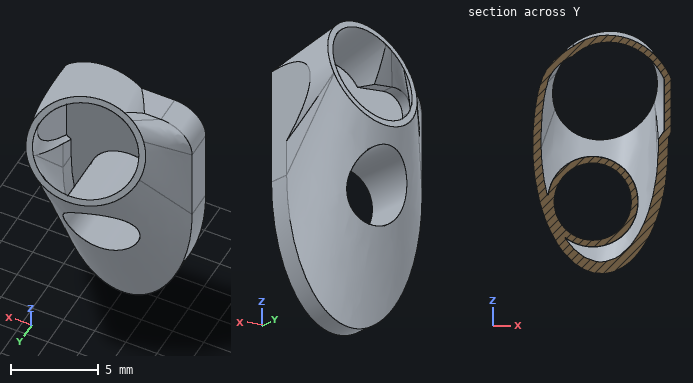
import cadquery as cq
import math

plate_width = 9.0
plate_thickness = 1.75
plate_top = 15.4
tip_height = 8.5
corner_radius = 2.0

mouth_centre = (0.7, 5.0, 14.28)
mouth_swing = 15.0
mouth_lean = 20.0
socket_radius = 3.5
socket_wall = 0.4
socket_length = 12.0

top_edge_angle = 42.0
corner_end_angle = 66.0
ellipse_end_angle = 107.5

hole_diameter = 4.4
hole_height = 7.8
sleeve_wall = 0.4

plate_wall = 0.7
floor_thickness = 0.7

half_width = plate_width / 2
hole_radius = hole_diameter / 2
room_size = 3 * plate_top

swing = math.radians(mouth_swing)
lean = math.radians(mouth_lean)
mouth_plane = cq.Plane(
    origin=mouth_centre,
    xDir=(-math.cos(swing), -math.sin(swing) * math.cos(lean), -math.sin(swing) * math.sin(lean)),
    normal=(-math.sin(swing), math.cos(swing) * math.cos(lean), math.cos(swing) * math.sin(lean)),
)


def outline(y, inset):
    """Plate outline moved inward by inset, in the plane at depth y."""
    side = half_width - inset
    top = plate_top - inset
    radius = corner_radius - inset
    shoulder = top - radius
    flat_end = side - radius
    bulge = radius * math.sqrt(0.5)
    plane = cq.Plane(origin=(0, y, 0), xDir=(-1, 0, 0), normal=(0, 1, 0))
    return (
        cq.Workplane(plane)
        .moveTo(side, tip_height)
        .lineTo(side, shoulder)
        .threePointArc((flat_end + bulge, shoulder + bulge), (flat_end, top))
        .lineTo(-flat_end, top)
        .threePointArc((-flat_end - bulge, shoulder + bulge), (-side, shoulder))
        .lineTo(-side, tip_height)
        .ellipseArc(side, tip_height - inset, 180, 360, startAtCurrent=True)
        .close()
        .val()
    )


def mouth_circle(radius):
    """Mouth circle split into six arcs, one for each edge of the outline."""
    seams = [
        -ellipse_end_angle,
        -corner_end_angle,
        -top_edge_angle,
        top_edge_angle,
        corner_end_angle,
        ellipse_end_angle,
        360 - ellipse_end_angle,
    ]

    def point(angle):
        turn = math.radians(angle)
        return (-radius * math.sin(turn), radius * math.cos(turn))

    circle = cq.Workplane(mouth_plane).moveTo(*point(seams[0]))
    for start, end in zip(seams, seams[1:]):
        circle = circle.threePointArc(point((start + end) / 2), point(end))
    return circle.wire().val()


def flared_body(inset, radius, back):
    """Straight plate part from depth back, then a ruled skin up to the mouth circle."""
    straight = cq.Workplane(
        cq.Solid.extrudeLinear(outline(back, inset), [], cq.Vector(0, plate_thickness - back, 0))
    )
    foot = outline(plate_thickness, inset)
    skin = cq.Solid.makeLoft([foot, mouth_circle(radius)], True)
    return straight.union(cq.Workplane(skin))


def socket_cylinder(radius, right_limit, back):
    """Cylinder behind the mouth, kept left of right_limit and in front of depth back."""
    room = cq.Workplane().box(room_size, room_size, room_size, centered=False)
    room = room.translate((right_limit - room_size, back, 0))
    return cq.Workplane(mouth_plane).circle(radius).extrude(-socket_length).intersect(room)


def screw_cylinder(radius):
    """Cylinder on the screw axis, running through the full depth of the part."""
    return cq.Workplane("XZ", origin=(0, 0, hole_height)).circle(radius).extrude(-room_size)


def outer_body():
    return flared_body(0, socket_radius, 0).union(socket_cylinder(socket_radius, half_width, 0))


def cavity():
    bore_radius = socket_radius - socket_wall
    bore = socket_cylinder(bore_radius, half_width - socket_wall, floor_thickness)
    hollow = flared_body(plate_wall, bore_radius, floor_thickness).union(bore)
    return hollow.cut(screw_cylinder(hole_radius + sleeve_wall))


result = outer_body().cut(cavity()).cut(screw_cylinder(hole_radius))